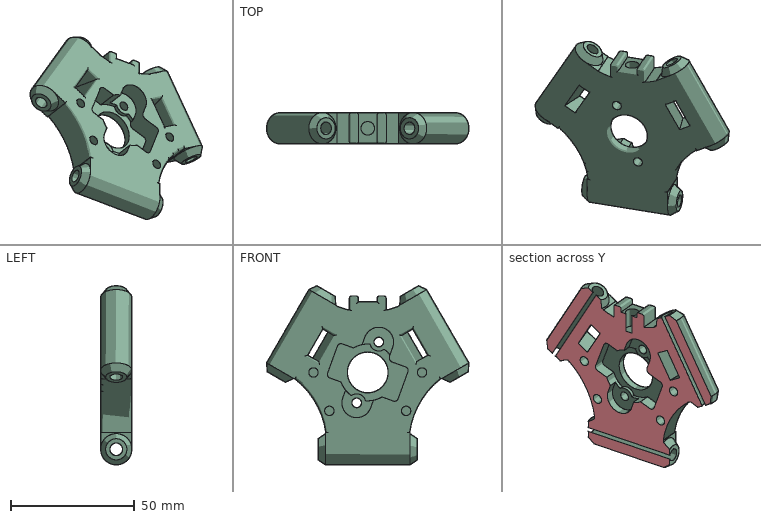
import cadquery as cq
import math

thickness = 12.7
half_thickness = thickness / 2

barrel_offset = 31.13
barrel_half_length = 20.15
barrel_end_taper = 3.0
barrel_end_inset = 2.05
shoulder_depth = 6.9
barrel_hole_diameter = 5.0
barrel_angles = (30, 150, 270)

scallop_radius = 33.3
scallop_depth_point = 24.45
top_scallop_angle = 90
side_scallop_angles = (210, 330)
side_scallop_fillet = 1.0

bore_diameter = 16.4
bore_back_fillet = 1.0

pocket_tilt = -20
pocket_depth = 8.9
pocket_round_diameter = 23.0
pocket_arm_length = 30.4
pocket_arm_width = 14.7
pocket_arm_corner_radius = 1.5
ear_offset = 13.1
ear_radius = 6.0
ear_depth = 7.35
screw_boss_radius = 3.65
screw_hole_diameter = 3.8
filler_size = 6.0
filler_corner_radius = 2.0

pilot_hole_diameter = 3.8
pilot_hole_depth = 8.0
pilot_circle_radius = 22.0
pilot_angles = (0, 180, 225, 315)

slot_length = 12.2
slot_inner = 19.15
slot_outer = 24.25
slot_shift = 3.05
slot_mouth_fillet = 0.95
mouth_margin = 0.1
slot_angles = (30, 150)

tab_width = 15.0
tab_top = 31.0
tab_gap = 7.6
tab_floor = 28.65
tab_fillet = 0.95
tab_root = 20.0
tab_hole_diameter = 5.5
tab_hole_depth = 8.0

barrel_radius = half_thickness
barrel_body_half = barrel_half_length - barrel_end_taper


def polar(radius, angle):
    """Point in the XZ plane at the given radius and angle in degrees."""
    return (radius * math.cos(math.radians(angle)), radius * math.sin(math.radians(angle)))


def spin(solid, angle):
    """Turn a solid about the Y axis, counter-clockwise when looking along +Y."""
    return solid.rotate((0, 0, 0), (0, 1, 0), -angle)


def front_plane():
    """Sketch plane on the front face; extruding by a negative length goes into the plate."""
    return cq.Workplane("XZ", origin=(0, -half_thickness, 0))


def mid_plane():
    return cq.Workplane("XZ")


def barrel():
    """Barrel along Z at +X, with conical ends and a flat shoulder reaching inward."""
    profile = (
        cq.Workplane("XZ")
        .moveTo(0, -barrel_half_length)
        .lineTo(barrel_radius - barrel_end_inset, -barrel_half_length)
        .lineTo(barrel_radius, -barrel_body_half)
        .lineTo(barrel_radius, barrel_body_half)
        .lineTo(barrel_radius - barrel_end_inset, barrel_half_length)
        .lineTo(0, barrel_half_length)
        .close()
    )
    shoulder = (
        cq.Workplane("XY")
        .box(shoulder_depth, thickness, 2 * barrel_body_half)
        .translate((-shoulder_depth / 2, 0, 0))
    )
    turned = profile.revolve(360, (0, 0, 0), (0, 1, 0))
    return turned.union(shoulder).translate((barrel_offset, 0, 0))


def scallop(angle):
    """Cylinder that hollows the plate edge between two barrels."""
    centre = polar(scallop_depth_point + scallop_radius, angle)
    return mid_plane().center(*centre).circle(scallop_radius).extrude(half_thickness, both=True)


def plate():
    """Plate between the barrel axes, with its side scallops rounded and the top one sharp."""
    corners = []
    for angle in barrel_angles:
        for side in (-1, 1):
            along, across = barrel_offset, side * barrel_body_half
            turn = math.radians(angle)
            corners.append((
                along * math.cos(turn) - across * math.sin(turn),
                along * math.sin(turn) + across * math.cos(turn),
            ))
    body = mid_plane().polyline(corners).close().extrude(half_thickness, both=True)
    for angle in side_scallop_angles:
        body = body.cut(scallop(angle))
    rims = body.faces("%CYLINDER").edges("%CIRCLE")
    body = rims.fillet(side_scallop_fillet)
    return body.cut(scallop(top_scallop_angle))


def tab():
    """Two-railed tab on the top edge, rounded on its faces, top and rails."""
    height = tab_top - tab_root
    block = (
        cq.Workplane("XY", origin=(0, 0, tab_root))
        .box(tab_width, thickness, height, centered=(True, True, False))
    )
    gap = (
        cq.Workplane("XY", origin=(0, 0, tab_floor))
        .box(tab_gap, thickness, height, centered=(True, True, False))
    )
    block = block.cut(gap)
    return block.faces("<Y or >Y or >Z").edges("not <Z").fillet(tab_fillet)


def motor_pocket():
    """Tilted motor recess with two shallower screw ears, screw holes and the bore."""
    arms = (
        front_plane().rect(pocket_arm_length, pocket_arm_width)
        .extrude(-pocket_depth).edges("|Y").fillet(pocket_arm_corner_radius)
    )
    middle = front_plane().circle(pocket_round_diameter / 2).extrude(-pocket_depth)
    filler = (
        front_plane()
        .center(ear_radius, pocket_arm_width / 2)
        .rect(filler_size, filler_size, centered=False)
        .extrude(-pocket_depth)
        .edges("|Y and <X and <Z").fillet(filler_corner_radius)
    )
    pocket = arms.union(middle.cut(filler))
    for side in (-1, 1):
        seat = front_plane().center(0, side * ear_offset)
        pocket = pocket.cut(seat.circle(screw_boss_radius).extrude(-pocket_depth))
    for side in (-1, 1):
        seat = front_plane().center(0, side * ear_offset)
        ear = seat.circle(ear_radius).extrude(-ear_depth)
        neck = (
            front_plane().center(0, side * ear_offset / 2)
            .rect(2 * ear_radius, ear_offset).extrude(-ear_depth)
        )
        screw = seat.circle(screw_hole_diameter / 2).extrude(-thickness)
        pocket = pocket.union(ear).union(neck).union(screw)
    bore = front_plane().circle(bore_diameter / 2).extrude(-thickness)
    return spin(pocket.union(bore), pocket_tilt)


def oblique_slot():
    """Slot at +X leaning outward towards the back, with a rounded mouth at the front."""
    profile = [
        (slot_inner, -half_thickness),
        (slot_outer, -half_thickness),
        (slot_outer + slot_shift, half_thickness),
        (slot_inner + slot_shift, half_thickness),
    ]
    return cq.Workplane("XY").polyline(profile).close().extrude(slot_length / 2, both=True)


def with_slot(body, angle):
    """Cut one slot into the body and round its front mouth."""
    turned = spin(body, -angle).cut(oblique_slot())
    mouth = cq.selectors.BoxSelector(
        (slot_inner - mouth_margin, -half_thickness - mouth_margin, -slot_length / 2 - mouth_margin),
        (slot_outer + mouth_margin, -half_thickness + mouth_margin, slot_length / 2 + mouth_margin),
    )
    return spin(turned.edges(mouth).fillet(slot_mouth_fillet), angle)


def pilot_holes():
    centres = [polar(pilot_circle_radius, angle) for angle in pilot_angles]
    return front_plane().pushPoints(centres).circle(pilot_hole_diameter / 2).extrude(-pilot_hole_depth)


def barrel_hole():
    return (
        cq.Workplane("XY", origin=(barrel_offset, 0, 0))
        .circle(barrel_hole_diameter / 2).extrude(barrel_half_length, both=True)
    )


def tab_hole():
    return (
        cq.Workplane("XY", origin=(0, 0, tab_floor))
        .circle(tab_hole_diameter / 2).extrude(-tab_hole_depth)
    )


result = plate().union(tab())
for angle in barrel_angles:
    result = result.union(spin(barrel(), angle))
for angle in slot_angles:
    result = with_slot(result, angle)
for angle in barrel_angles:
    result = result.cut(spin(barrel_hole(), angle))
result = result.cut(motor_pocket()).cut(pilot_holes()).cut(tab_hole())
bore_rim = cq.selectors.NearestToPointSelector((0, half_thickness, 0))
result = result.faces(">Y").edges("%CIRCLE").edges(bore_rim).fillet(bore_back_fillet)